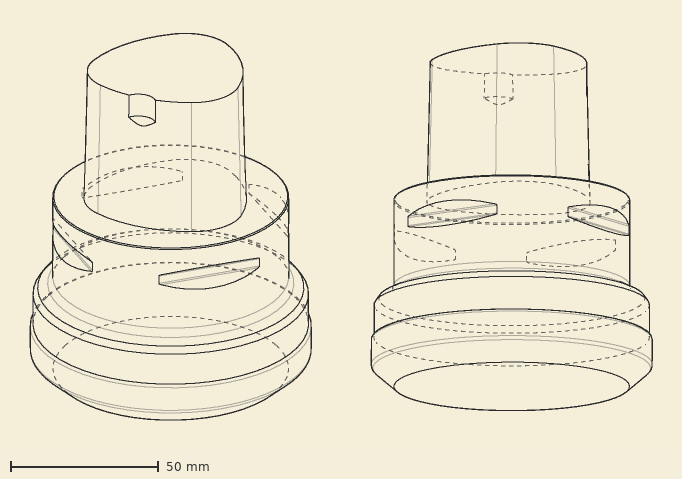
import cadquery as cq
import math

total_height = 113.0

ring_diameter = 95.2
ring_radius = ring_diameter / 2
ring_height = 16.9
ring_bottom_radius = 39.9
ring_chamfer_height = 6.8
ring_top_round = 0.9
ring_bottom_round = 1.7
round_search_margin = 1.1

collar_radius = 93.3 / 2
collar_top = 28.2
shoulder_outer_radius = 45.1
shoulder_outer_z = 30.5
shoulder_angle = 25.0
neck_radius = 80.0 / 2
neck_top = 64.8
neck_fillet_start_z = 34.8
neck_fillet = 2.9
neck_chamfer = 0.4

lobe_count = 3
lobe_half_pitch = 180 / lobe_count
lobe_reach = 29.5
side_reach = 25.5
lobe_radius = 17.3
shank_inset = 1.1
first_side_angle = -90.0

groove_count = 4
groove_first_angle = 45.0
groove_z = 53.0
groove_floor_distance = 35.6
groove_floor_height = 3.4
groove_flank_angle = 30.0
groove_corner_radius = 0.6

notch_radius = 6.0
notch_center_y = -27.7
notch_floor_z = 104.7
notch_tip_depth = 4.3


def polar(radius, degrees):
    angle = math.radians(degrees)
    return radius * math.cos(angle), radius * math.sin(angle)


def make_base_ring():
    """Solid round foot with a steep bottom chamfer and rounded edges."""
    profile = (
        cq.Workplane("XZ")
        .polyline([
            (0, 0),
            (ring_bottom_radius, 0),
            (ring_radius, ring_chamfer_height),
            (ring_radius, ring_height),
            (0, ring_height),
        ])
        .close()
    )
    ring = profile.revolve(360, (0, 0, 0), (0, 1, 0))
    ring = ring.faces(">Z").edges().fillet(ring_top_round)
    chamfer_edge = cq.selectors.BoxSelector(
        (-ring_radius, -ring_radius, ring_chamfer_height - round_search_margin),
        (ring_radius, ring_radius, ring_chamfer_height + round_search_margin),
    )
    return ring.edges("%CIRCLE").edges(chamfer_edge).fillet(ring_bottom_round)


def make_collar_and_neck():
    """Revolved holder body with a concave fillet running into a sloped shoulder."""
    fillet_center_x = neck_radius + neck_fillet
    sweep = 90 - shoulder_angle

    def fillet_point(degrees):
        dx, dz = polar(neck_fillet, degrees)
        return fillet_center_x - dx, neck_fillet_start_z - dz

    return (
        cq.Workplane("XZ")
        .moveTo(0, ring_height)
        .lineTo(collar_radius, ring_height)
        .lineTo(collar_radius, collar_top)
        .lineTo(shoulder_outer_radius, shoulder_outer_z)
        .lineTo(*fillet_point(sweep))
        .threePointArc(fillet_point(sweep / 2), fillet_point(0))
        .lineTo(neck_radius, neck_top - neck_chamfer)
        .lineTo(neck_radius - neck_chamfer, neck_top)
        .lineTo(0, neck_top)
        .close()
        .revolve(360, (0, 0, 0), (0, 1, 0))
    )


def lobed_wire(z, inset):
    """Three lobes and three flatter sides, joined as tangent arcs."""
    lobe_center = lobe_reach - lobe_radius
    reach_difference = side_reach - lobe_radius
    side_center = (lobe_center**2 - reach_difference**2) / (2 * reach_difference - lobe_center)
    half_sweep = math.degrees(math.atan2(
        lobe_center * math.sin(math.radians(lobe_half_pitch)),
        side_center + lobe_center * math.cos(math.radians(lobe_half_pitch)),
    ))
    side_radius = side_center + side_reach - inset

    def side_point(side_angle, offset):
        center_x, center_y = polar(side_center, side_angle + 180)
        dx, dy = polar(side_radius, side_angle + offset)
        return center_x + dx, center_y + dy

    start = side_point(first_side_angle, -half_sweep)
    outline = cq.Workplane("XY", origin=(0, 0, z)).moveTo(*start)
    for index in range(lobe_count):
        side_angle = first_side_angle + index * 2 * lobe_half_pitch
        outline = outline.threePointArc(side_point(side_angle, 0), side_point(side_angle, half_sweep))
        outline = outline.threePointArc(
            polar(lobe_reach - inset, side_angle + lobe_half_pitch),
            side_point(side_angle + 2 * lobe_half_pitch, -half_sweep),
        )
    return outline.wire().val()


def make_shank():
    """Shank tapering evenly from the neck to the top."""
    wires = [lobed_wire(neck_top, 0), lobed_wire(total_height, shank_inset)]
    return cq.Workplane(cq.Solid.makeLoft(wires, True))


def make_groove_cutter(angle):
    """Trapezoidal groove, widening outward, with rounded floor corners."""
    depth = neck_radius - groove_floor_distance
    half_floor = groove_floor_height / 2
    half_mouth = half_floor + depth * math.tan(math.radians(groove_flank_angle))
    cutter = (
        cq.Workplane("XZ")
        .polyline([
            (groove_floor_distance, groove_z - half_floor),
            (neck_radius, groove_z - half_mouth),
            (neck_radius, groove_z + half_mouth),
            (groove_floor_distance, groove_z + half_floor),
        ])
        .close()
        .extrude(neck_radius, both=True)
    )
    cutter = cutter.faces("<X").edges("|Y").fillet(groove_corner_radius)
    return cutter.rotate((0, 0, 0), (0, 0, 1), angle)


def make_notch_cutter():
    """Vertical drill with a conical tip."""
    return (
        cq.Workplane("XZ", origin=(0, notch_center_y, 0))
        .polyline([
            (0, notch_floor_z - notch_tip_depth),
            (notch_radius, notch_floor_z),
            (notch_radius, total_height),
            (0, total_height),
        ])
        .close()
        .revolve(360, (0, 0, 0), (0, 1, 0))
    )


def make_holder():
    holder = make_collar_and_neck().union(make_shank())
    for index in range(groove_count):
        angle = groove_first_angle + index * 360 / groove_count
        holder = holder.cut(make_groove_cutter(angle))
    return holder.cut(make_notch_cutter())


base_ring = make_base_ring()
holder = make_holder()

result = cq.Compound.makeCompound([base_ring.val(), holder.val()])